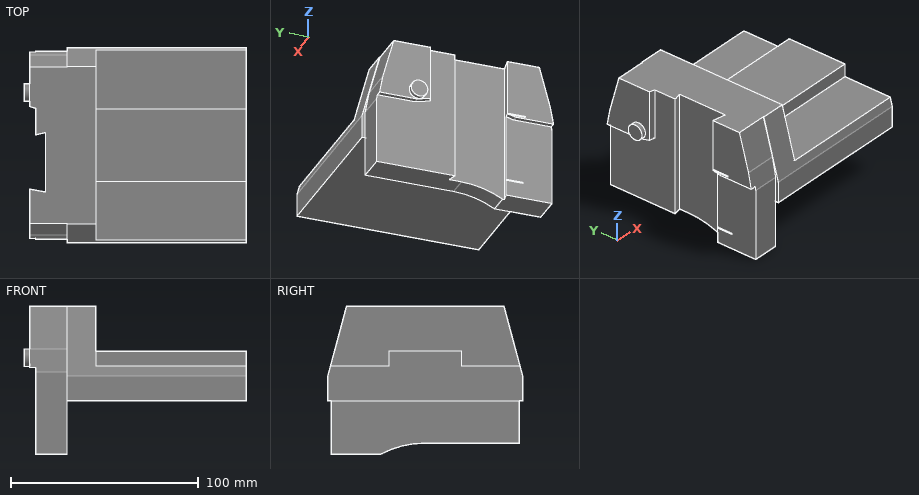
import cadquery as cq

LENGTH = 118.2
WIDTH = 104.0
HEIGHT = 79.0
OVERLAP = 1.2

UPPER_FACE_X = 2.8
LOWER_FACE_X = 6.1
RECESS_FLOOR_X = 11.2
BODY_X = 22.8
RAIL_X = 38.2

TOP_HALF_WIDTH = 42.0
BODY_BOTTOM_Z = 28.5
TAPER_START_Z = 41.6
SHOULDER_Z = 47.0
RIDGE_Z = 55.0
RIDGE_WIDTH = 38.5

BLOCK_TOP_HALF_WIDTH = 41.6
BLOCK_HALF_WIDTH = 50.1
BLOCK_TAPER_Z = 44.0
BEND_HALF_WIDTH = 47.9
BEND_Z = 56.0
RAISED_BOTTOM_Z = 5.9
ARC_START_Y = -0.4
FOOT_Y = -23.8

RECESS_LEFT_MOUTH_Y = 5.4
RECESS_LEFT_FLOOR_Y = 6.6
RECESS_RIGHT_MOUTH_Y = -23.3
RECESS_RIGHT_FLOOR_Y = -24.8

PAD_BOTTOM_Z = 46.2
PAD_SLOPE_Y = 28.1
LEFT_PAD_FACE_Y = 20.6
LEFT_PAD_ROOT_Y = 19.5
LEFT_PAD_INNER_Z = 48.4
RIGHT_PAD_INNER_Z = 47.4

SLIT_END_Y = -33.6
SLIT_HEIGHT = 0.4
SLIT_DEPTH = 0.4
LOWER_SLIT_Z = 9.3
UPPER_SLIT_Z = 47.5

PIN_DIAMETER = 9.5
PIN_Y = 28.0
PIN_Z = 51.4


def extrude_along_x(points, start_x, end_x):
    """Extrude a closed YZ outline between two X stations."""
    return cq.Workplane("YZ", origin=(start_x, 0, 0)).polyline(points).close().extrude(end_x - start_x)


def make_box(x_range, y_range, z_range):
    size = [high - low for low, high in (x_range, y_range, z_range)]
    corner = (x_range[0], y_range[0], z_range[0])
    return cq.Workplane().box(*size, centered=False).translate(corner)


def make_body_and_rail():
    half = WIDTH / 2
    body = extrude_along_x(
        [
            (-half, BODY_BOTTOM_Z),
            (half, BODY_BOTTOM_Z),
            (half, TAPER_START_Z),
            (TOP_HALF_WIDTH, HEIGHT),
            (-TOP_HALF_WIDTH, HEIGHT),
            (-half, TAPER_START_Z),
        ],
        BODY_X,
        LENGTH,
    )
    rail_x = (RAIL_X, LENGTH + OVERLAP)
    above_shoulder = make_box(rail_x, (-WIDTH, WIDTH), (SHOULDER_Z, HEIGHT + OVERLAP))
    ridge = make_box((RAIL_X, LENGTH), (-RIDGE_WIDTH / 2, RIDGE_WIDTH / 2), (SHOULDER_Z, RIDGE_Z))
    return body.cut(above_shoulder).union(ridge)


def make_front_stock():
    run = ARC_START_Y - FOOT_Y
    radius = (run**2 + RAISED_BOTTOM_Z**2) / (2 * RAISED_BOTTOM_Z)
    middle_y = ARC_START_Y - run / 2
    middle_z = RAISED_BOTTOM_Z - radius + (radius**2 - (run / 2) ** 2) ** 0.5
    return (
        cq.Workplane("YZ", origin=(UPPER_FACE_X, 0, 0))
        .moveTo(-BLOCK_HALF_WIDTH, 0)
        .lineTo(FOOT_Y, 0)
        .threePointArc((middle_y, middle_z), (ARC_START_Y, RAISED_BOTTOM_Z))
        .lineTo(BLOCK_HALF_WIDTH, RAISED_BOTTOM_Z)
        .lineTo(BLOCK_HALF_WIDTH, BLOCK_TAPER_Z)
        .lineTo(BEND_HALF_WIDTH, BEND_Z)
        .lineTo(BLOCK_TOP_HALF_WIDTH, HEIGHT)
        .lineTo(-BLOCK_TOP_HALF_WIDTH, HEIGHT)
        .lineTo(-BEND_HALF_WIDTH, BEND_Z)
        .lineTo(-BLOCK_HALF_WIDTH, BLOCK_TAPER_Z)
        .close()
        .extrude(BODY_X - UPPER_FACE_X)
    )


def cut_below_pads(block):
    """Set the front back to the lower face, leaving the two upper pads."""
    cutter = extrude_along_x(
        [
            (-WIDTH, -OVERLAP),
            (WIDTH, -OVERLAP),
            (WIDTH, PAD_BOTTOM_Z),
            (PAD_SLOPE_Y, PAD_BOTTOM_Z),
            (LEFT_PAD_ROOT_Y, LEFT_PAD_INNER_Z),
            (RECESS_RIGHT_MOUTH_Y, RIGHT_PAD_INNER_Z),
            (-PAD_SLOPE_Y, PAD_BOTTOM_Z),
            (-WIDTH, PAD_BOTTOM_Z),
        ],
        UPPER_FACE_X - OVERLAP,
        LOWER_FACE_X,
    )
    return block.cut(cutter)


def cut_recess(block):
    """Cut the stepped, undercut recess through the full height."""
    cutter = (
        cq.Workplane("XY", origin=(0, 0, -OVERLAP))
        .polyline(
            [
                (0, LEFT_PAD_FACE_Y),
                (UPPER_FACE_X, LEFT_PAD_FACE_Y),
                (LOWER_FACE_X, LEFT_PAD_ROOT_Y),
                (LOWER_FACE_X, RECESS_LEFT_MOUTH_Y),
                (RECESS_FLOOR_X, RECESS_LEFT_FLOOR_Y),
                (RECESS_FLOOR_X, RECESS_RIGHT_FLOOR_Y),
                (UPPER_FACE_X, RECESS_RIGHT_MOUTH_Y),
                (0, RECESS_RIGHT_MOUTH_Y),
            ]
        )
        .close()
        .extrude(HEIGHT + 2 * OVERLAP)
    )
    return block.cut(cutter)


def cut_slits(block):
    for face_x, slit_z in ((LOWER_FACE_X, LOWER_SLIT_Z), (UPPER_FACE_X, UPPER_SLIT_Z)):
        depth_range = (face_x - OVERLAP, face_x + SLIT_DEPTH)
        height_range = (slit_z - SLIT_HEIGHT / 2, slit_z + SLIT_HEIGHT / 2)
        block = block.cut(make_box(depth_range, (SLIT_END_Y, RECESS_RIGHT_MOUTH_Y), height_range))
    return block


def make_pin():
    return cq.Workplane("YZ").center(PIN_Y, PIN_Z).circle(PIN_DIAMETER / 2).extrude(LOWER_FACE_X + OVERLAP)


front_block = cut_slits(cut_recess(cut_below_pads(make_front_stock())))
result = make_body_and_rail().union(front_block).union(make_pin())